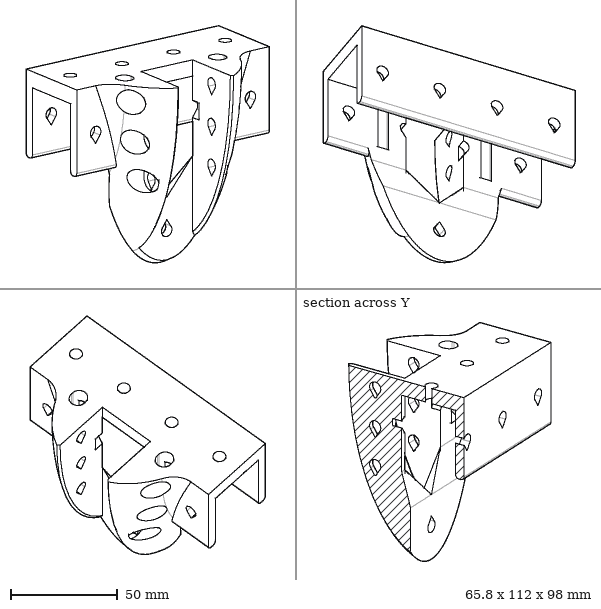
import cadquery as cq
import math

channel_length = 112.0
channel_width = 40.0
channel_height = 43.0
wall = 5.0
leg_rounding = 2.0
roof = 8.0
inner_right = channel_width - wall
axis_x = channel_width / 2

sphere_radius = 50.0
squeeze_y = 0.805
stretch_z = 2.0
neck_radius = channel_width / 2
neck_half_length = 55.0
neck_blend = 17.0

slot_half_width = 15.0
ear_tip_y = 16.15
ear_bevel_x = 1.0
plate_left = inner_right - wall
step_top_z = -47.2
step_bottom_z = -64.6
body_depth = sphere_radius * stretch_z

hole_diameter = 6.0
tip_offset = 5.3
hole_pitch = 30.0
hole_count = 4
leg_hole_z = -23.0
plate_hole_z = -81.0
ear_hole_x = 50.0
ear_hole_top_z = -8.0
ear_hole_pitch = 20.0
ear_hole_count = 3
seat_diameter = 12.0
seat_y = 20.0

pocket_y = 27.0
pocket_width = 8.0
pocket_length = 9.0
pocket_x = 38.45
pocket_floor_z = -38.5
pocket_floor_slope = math.tan(math.radians(30.0))


def box(x_min, x_max, y_min, y_max, z_min, z_max):
    size = (x_max - x_min, y_max - y_min, z_max - z_min)
    return cq.Workplane("XY").box(*size, centered=False).translate((x_min, y_min, z_min))


def channel():
    block = box(0, channel_width, -channel_length / 2, channel_length / 2, -channel_height, 0)
    bore = box(wall, inner_right, -channel_length, channel_length, -channel_height, -roof)
    return block.cut(bore).faces("<Z").edges("|Y").fillet(leg_rounding)


def streamline(profile):
    """Turn a profile about the Y axis, keep its lower right quarter and squeeze it to shape."""
    turned = profile.revolve(90, (0, 0, 0), (0, 1, 0)).val()
    squeeze = cq.Matrix([[1, 0, 0, axis_x], [0, squeeze_y, 0, 0], [0, 0, stretch_z, 0]])
    return cq.Workplane(turned.transformGeometry(squeeze))


def ear():
    slot = slot_half_width / squeeze_y
    tip = ear_tip_y / squeeze_y
    end = neck_half_length / squeeze_y
    tip_radius = math.sqrt(sphere_radius**2 - tip**2)

    blend_x = neck_radius + neck_blend
    blend_y = math.sqrt((sphere_radius + neck_blend) ** 2 - blend_x**2)
    blend_angle = math.atan2(blend_y, blend_x)
    tip_angle = math.asin(tip / sphere_radius)
    sphere_middle = (blend_angle + tip_angle) / 2
    blend_middle = math.pi + blend_angle / 2

    def on_sphere(angle):
        return (sphere_radius * math.cos(angle), sphere_radius * math.sin(angle))

    blend_point = (
        blend_x + neck_blend * math.cos(blend_middle),
        blend_y + neck_blend * math.sin(blend_middle),
    )
    profile = (
        cq.Workplane("XY")
        .moveTo(0, slot)
        .lineTo(tip_radius - ear_bevel_x, slot)
        .lineTo(tip_radius, tip)
        .threePointArc(on_sphere(sphere_middle), on_sphere(blend_angle))
        .threePointArc(blend_point, (neck_radius, blend_y))
        .lineTo(neck_radius, end)
        .lineTo(0, end)
        .close()
    )
    return streamline(profile)


def plate():
    """Slice of the plain ellipsoid that closes the slot behind the ears."""
    half_circle = (
        cq.Workplane("XY")
        .moveTo(0, -sphere_radius)
        .threePointArc((sphere_radius, 0), (0, sphere_radius))
        .close()
    )
    slab = box(plate_left, inner_right, -ear_tip_y, ear_tip_y, -body_depth, -roof)
    return streamline(half_circle).intersect(slab)


def inner_clearance():
    """Everything on the channel side of the body: channel bore, step and plate face."""
    outline = [
        (wall, -roof),
        (inner_right, -roof),
        (inner_right, step_top_z),
        (plate_left, step_bottom_z),
        (plate_left, -body_depth),
        (wall, -body_depth),
    ]
    return cq.Workplane("XZ").polyline(outline).close().extrude(channel_length, both=True)


def plate_notch():
    """V-shaped opening through the stepped part of the plate."""
    corners = [(-slot_half_width, step_top_z), (slot_half_width, step_top_z), (0, step_bottom_z)]
    notch = cq.Workplane("YZ").polyline(corners).close().extrude(wall)
    return notch.translate((plate_left, 0, 0))


def slot():
    return box(inner_right, 2 * sphere_radius, -slot_half_width, slot_half_width, -body_depth, 0)


def teardrop(plane, tip_direction):
    """Teardrop outline centred on the plane origin; tip_direction is +1 for up, -1 for down."""
    radius = hole_diameter / 2
    tangent_y = radius**2 / tip_offset
    tangent_x = math.sqrt(radius**2 - tangent_y**2)
    return (
        cq.Workplane(plane)
        .moveTo(-tangent_x, tip_direction * tangent_y)
        .threePointArc((0, -tip_direction * radius), (tangent_x, tip_direction * tangent_y))
        .lineTo(0, tip_direction * tip_offset)
        .close()
    )


def channel_holes():
    tools = cq.Workplane("XY")
    roof_hole = cq.Workplane("XY").circle(hole_diameter / 2).extrude(-roof)
    leg_hole = teardrop("YZ", -1).extrude(channel_width)
    for i in range(hole_count):
        y = (i - (hole_count - 1) / 2) * hole_pitch
        tools = tools.add(roof_hole.translate((axis_x, y, 0)))
        tools = tools.add(leg_hole.translate((0, y, leg_hole_z)))
    return tools.combine()


def ear_holes():
    tools = cq.Workplane("XY")
    bore = teardrop("XZ", -1).extrude(sphere_radius, both=True)
    seat = cq.Workplane("XZ").circle(seat_diameter / 2).extrude(sphere_radius)
    near_seat = seat.translate((0, -seat_y, 0))
    tool = bore.union(near_seat).union(near_seat.mirror("XZ"))
    for i in range(ear_hole_count):
        z = ear_hole_top_z - i * ear_hole_pitch
        tools = tools.add(tool.translate((ear_hole_x, 0, z)))
    return tools.combine()


def plate_hole():
    return teardrop("YZ", 1).extrude(wall).translate((plate_left, 0, plate_hole_z))


def pocket():
    left = pocket_x - pocket_length / 2
    right = pocket_x + pocket_length / 2
    outline = [
        (left, 0),
        (right, 0),
        (right, pocket_floor_z + (right - inner_right) * pocket_floor_slope),
        (left, pocket_floor_z + (left - inner_right) * pocket_floor_slope),
    ]
    side = cq.Workplane("XZ").polyline(outline).close().extrude(pocket_width / 2, both=True)
    plan = cq.Workplane("XY").center(pocket_x, 0).slot2D(pocket_length, pocket_width)
    return plan.extrude(pocket_floor_z - pocket_length).intersect(side).translate((0, pocket_y, 0))


back_ear = ear()
body = back_ear.union(back_ear.mirror("XZ")).union(plate())
body = body.cut(inner_clearance())
result = channel().union(body)
result = result.cut(slot()).cut(plate_notch())
result = result.cut(channel_holes()).cut(ear_holes()).cut(plate_hole())
result = result.cut(pocket()).cut(pocket().mirror("XZ"))